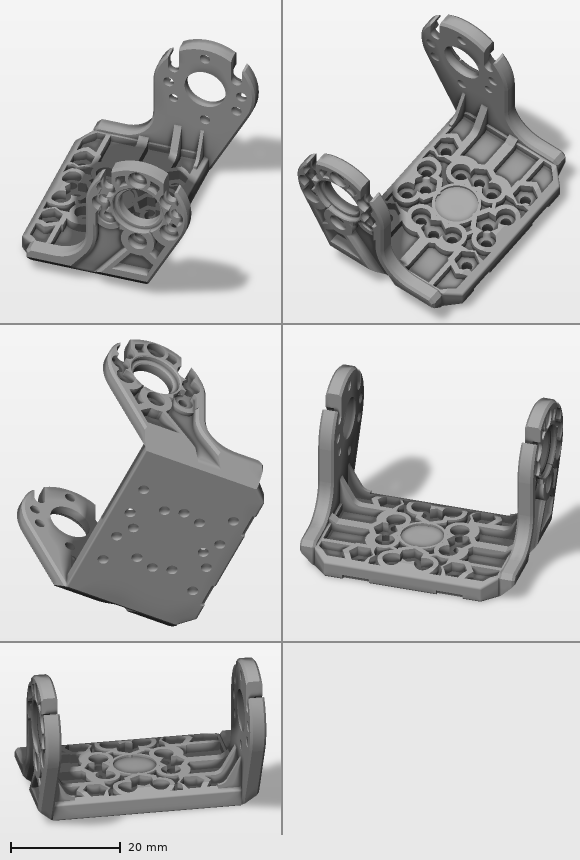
import cadquery as cq
import math


WIDTH = 41.0
ARM_THICK = 3.0
HALF_WIDTH = WIDTH / 2
INNER_Y = HALF_WIDTH - ARM_THICK

HUB_Z = 19.0
HUB_R = 9.5
BOLT_CIRCLE_R = 7.0
HOLE_D = 2.0
SMALL_HOLE_D = 1.75

BASE_LEFT = -24.2
BASE_RIGHT = 0.75
BASE_MID_X = (BASE_LEFT + BASE_RIGHT) / 2
BASE_TOP = 4.15
BASE_CORNER = 2.6
BASE_EDGE_Z = 3.08
BEVEL_RUN = 2.55
EDGE_ROUND = 0.5
RIGHT_ROUND = 0.33
GRID = 3.0

ARM_LEFT = BASE_LEFT + BASE_CORNER
ARM_FOOT_TOP = 5.05
ARM_CORNER = 0.9
ARM_NECK_X = -10.13
NECK_TANGENT_Z = HUB_Z - 0.9
BEND_R = 6.0
ARM_CHAMFER = 0.45
UNDERCUT = ARM_THICK
TIP_HEIGHT = 5.8
SLOT_W = 2.05

BORE_D = 7.87
SEAT_D = 9.68
SEAT_DEPTH = 1.02
SEAT_CHAMFER = 0.2
BORE_CHAMFER = 0.25
RING_R = 5.3

SINK_R = 1.8
ARM_SINK_DEPTH = 1.55
SINK_NECK_W = 1.5
ARM_POCKET_DEPTH = 2.05
CHANNEL_DEPTH = 1.93
CHANNEL_CHAMFER = 0.5
CHANNEL_EXIT_R = 0.95

PLATE_SINK_DEPTH = 2.0
NUT_FLATS = 4.0
PLATE_POCKET_DEPTH = 1.72
PLATE_POCKET_END = 17.0
POCKET_FOOT = 0.33
DISC_R = 3.98
DISC_DEPTH = 0.5
DISC_RIM_R = 4.5

BIG = 3 * WIDTH


def polar(radius, degrees):
    angle = math.radians(degrees)
    return radius * math.cos(angle), radius * math.sin(angle)


def hub_point(radius, degrees):
    x, z = polar(radius, degrees)
    return x, HUB_Z + z


def mirrored_y(shape):
    return shape.union(shape.mirror("XZ"))


def outer_face():
    """Sketch plane on the outer face of the -Y arm; negative extrusions go inwards."""
    return cq.Workplane("XZ", origin=(0, -HALF_WIDTH, 0))


def arm_disc(center, radius, depth):
    return outer_face().center(*center).circle(radius).extrude(-depth)


def arm_blank():
    dist = math.hypot(BASE_RIGHT, HUB_Z)
    lean = math.atan2(BASE_RIGHT, HUB_Z) - math.asin(HUB_R / dist)
    tangent = hub_point(HUB_R, math.degrees(lean))
    tip_angle = 180 - math.degrees(math.asin(TIP_HEIGHT / HUB_R))
    spare = 2 * ARM_CHAMFER
    blank = (
        outer_face()
        .moveTo(ARM_LEFT, -spare)
        .lineTo(ARM_LEFT, ARM_FOOT_TOP - ARM_CORNER)
        .lineTo(ARM_LEFT + ARM_CORNER, ARM_FOOT_TOP)
        .lineTo(ARM_NECK_X - BEND_R, ARM_FOOT_TOP)
        .tangentArcPoint((BEND_R, BEND_R))
        .lineTo(ARM_NECK_X, NECK_TANGENT_Z)
        .tangentArcPoint(hub_point(HUB_R, tip_angle), relative=False)
        .threePointArc(hub_point(HUB_R, 60), tangent)
        .lineTo(BASE_RIGHT - spare * math.tan(-lean), -spare)
        .close()
        .extrude(-ARM_THICK)
        .faces("<Y or >Y")
        .chamfer(ARM_CHAMFER)
    )
    undercut = (
        cq.Workplane("YZ", origin=(-WIDTH, 0, 0))
        .moveTo(-HALF_WIDTH, UNDERCUT)
        .lineTo(-HALF_WIDTH + UNDERCUT, 0)
        .lineTo(-INNER_Y, -UNDERCUT)
        .lineTo(-HALF_WIDTH, -UNDERCUT)
        .close()
        .extrude(BIG)
    )
    return blank.cut(undercut)


def hub_cuts():
    bore = arm_disc((0, HUB_Z), BORE_D / 2, ARM_THICK)
    seat = arm_disc((0, HUB_Z), SEAT_D / 2, SEAT_DEPTH)
    lead_in = (
        outer_face()
        .center(0, HUB_Z)
        .circle(SEAT_D / 2 + SEAT_CHAMFER)
        .extrude(-SEAT_CHAMFER, taper=45)
    )
    bore_lead_in = (
        cq.Workplane("XZ", origin=(0, SEAT_DEPTH - HALF_WIDTH, HUB_Z))
        .circle(BORE_D / 2 + BORE_CHAMFER)
        .extrude(-BORE_CHAMFER, taper=45)
    )
    cuts = bore.union(seat).union(lead_in).union(bore_lead_in)
    for angle in (0, 90, 180, 270, 330):
        cuts = cuts.union(arm_disc(hub_point(BOLT_CIRCLE_R, angle), HOLE_D / 2, ARM_THICK))
    small = hub_point(BOLT_CIRCLE_R, 210)
    return cuts.union(arm_disc(small, SMALL_HOLE_D / 2, ARM_THICK))


def slot_cuts():
    """Two slots open at the top, and the cut that levels the arm tips beside them."""
    cuts = None
    for angle, side in ((30, 1), (150, -1)):
        x, z = hub_point(BOLT_CIRCLE_R, angle)
        slot = arm_disc((x, z), SLOT_W / 2, ARM_THICK)
        slot = slot.union(
            outer_face().center(x, z + HUB_R / 2).rect(SLOT_W, HUB_R).extrude(-ARM_THICK)
        )
        level = (
            outer_face()
            .center(x + side * HUB_R / 2, HUB_Z + TIP_HEIGHT + HUB_R / 2)
            .rect(HUB_R, HUB_R)
            .extrude(-ARM_THICK)
        )
        slot = slot.union(level)
        cuts = slot if cuts is None else cuts.union(slot)
    return cuts


def sink_cuts():
    """Counterbores on the bolt circle; those at each side are joined by short passages."""
    cuts = arm_disc(hub_point(BOLT_CIRCLE_R, 90), SINK_R, ARM_SINK_DEPTH)
    cuts = cuts.union(arm_disc(hub_point(BOLT_CIRCLE_R, 270), SINK_R, ARM_SINK_DEPTH))
    for side_angle in (0, 180):
        for step in (-30, 0, 30):
            place = hub_point(BOLT_CIRCLE_R, side_angle + step)
            cuts = cuts.union(arm_disc(place, SINK_R, ARM_SINK_DEPTH))
        for step in (-15, 15):
            passage = (
                outer_face()
                .center(*hub_point(BOLT_CIRCLE_R, side_angle + step))
                .transformed(rotate=(0, 0, side_angle + step))
                .rect(SINK_NECK_W, SINK_R)
                .extrude(-ARM_SINK_DEPTH)
            )
            cuts = cuts.union(passage)
    return cuts


def crown_pockets():
    """Two curved pockets above the bore, either side of the top hole."""
    inner_r, outer_r, side_x, corner_r = 5.75, 7.9, 4.22, 0.6
    top_wall_r, slot_wall_r = 2.45, 2.75
    band = outer_face().center(0, HUB_Z).circle(outer_r).circle(inner_r).extrude(-ARM_SINK_DEPTH)
    upper = (
        outer_face()
        .center(0, HUB_Z + HUB_R / 2 + inner_r / 2)
        .rect(2 * side_x, HUB_R)
        .extrude(-ARM_SINK_DEPTH)
    )
    pockets = band.intersect(upper)
    pockets = pockets.cut(arm_disc(hub_point(BOLT_CIRCLE_R, 90), top_wall_r, ARM_THICK))
    for angle in (30, 150):
        pockets = pockets.cut(arm_disc(hub_point(BOLT_CIRCLE_R, angle), slot_wall_r, ARM_THICK))
    return pockets.edges("|Y").edges("<X or >X").fillet(corner_r)


LOW_BOSS_R = 3.2
LOW_HOLE = hub_point(BOLT_CIRCLE_R, 270)


def web_pockets():
    """Pockets of the lower web, with a rib between them parallel to their cut corners."""
    lower = [(-4.95, 4.4), (1.72, 4.4), (3.08, 7.18), (0.95, 8.9), (-1.35, 8.9)]
    upper = [(3.55, 8.65), (5.45, 12.3), (4.35, 14.05), (2.25, 14.75), (1.25, 12.3), (1.25, 10.6)]
    pockets = outer_face().polyline(lower).close().extrude(-ARM_POCKET_DEPTH)
    pockets = pockets.union(outer_face().polyline(upper).close().extrude(-ARM_POCKET_DEPTH))
    pockets = pockets.cut(arm_disc(LOW_HOLE, LOW_BOSS_R, ARM_THICK))
    right_wall_r = 3.4
    return pockets.cut(arm_disc(hub_point(BOLT_CIRCLE_R, 330), right_wall_r, ARM_THICK))


def channel_cuts():
    """Slanted channel running from the small hole down through the undercut."""
    left_x, right_x, top_z = -8.08, -3.45, 16.4
    small_hole = hub_point(BOLT_CIRCLE_R, 210)
    boss_r, boss_recess, recess_corner_r = 2.95, 1.1, 1.0
    bend_x, bend_z = ARM_NECK_X - BEND_R, ARM_FOOT_TOP + BEND_R
    wall_r = left_x - bend_x
    slope = 51.4
    bend_end_angle = 90 - slope
    end_x, end_z = polar(wall_r, -bend_end_angle)
    mid_x, mid_z = polar(wall_r, -bend_end_angle / 2)
    end = (bend_x + end_x, bend_z + end_z)
    wall_top = (-1.3, 11.0)
    shoulder_z = 13.85
    below = -1.25

    def down_slope(point):
        return point[0] - (point[1] - below) / math.tan(math.radians(slope)), below

    def outline():
        return (
            outer_face()
            .moveTo(left_x, top_z)
            .lineTo(left_x, bend_z)
            .threePointArc((bend_x + mid_x, bend_z + mid_z), end)
            .lineTo(*down_slope(end))
            .lineTo(*down_slope(wall_top))
            .lineTo(*wall_top)
            .lineTo(wall_top[0], top_z)
            .close()
        )

    channel = outline().extrude(-CHANNEL_DEPTH)
    bevel = outline().offset2D(CHANNEL_CHAMFER).extrude(-CHANNEL_CHAMFER, taper=45)
    boss = arm_disc(small_hole, boss_r, ARM_THICK)
    low_boss = arm_disc(LOW_HOLE, LOW_BOSS_R, ARM_THICK)
    ring = arm_disc((0, HUB_Z), RING_R, ARM_THICK)
    recess_box = (
        outer_face()
        .moveTo(left_x, small_hole[1] - boss_r)
        .lineTo(right_x, small_hole[1] - boss_r)
        .lineTo(right_x, small_hole[1] + SINK_R)
        .lineTo(left_x, small_hole[1] + SINK_R)
        .close()
        .extrude(-boss_recess)
        .edges("|Y and <X and >Z")
        .fillet(recess_corner_r)
    )
    shoulder = (
        outer_face()
        .moveTo(right_x, shoulder_z)
        .lineTo(0, shoulder_z)
        .lineTo(0, HUB_Z)
        .lineTo(right_x, HUB_Z)
        .close()
        .extrude(-ARM_THICK)
    )
    recess = boss.intersect(recess_box)
    cuts = channel.union(bevel).cut(boss).union(recess)
    return cuts.cut(low_boss).cut(shoulder).cut(ring)


def make_arm():
    arm = arm_blank()
    for cuts in (hub_cuts(), slot_cuts(), sink_cuts(), crown_pockets(), web_pockets(), channel_cuts()):
        arm = arm.cut(cuts)
    channel_exit = (-11.05, CHANNEL_DEPTH - HALF_WIDTH, UNDERCUT - CHANNEL_DEPTH)
    return arm.edges(cq.NearestToPointSelector(channel_exit)).fillet(CHANNEL_EXIT_R)


def plate_box(x_min, x_max, y_min, y_max, depth):
    """Cutter of the given depth below the plate top."""
    return (
        cq.Workplane("XY")
        .box(x_max - x_min, y_max - y_min, depth, centered=False)
        .translate((x_min, y_min, BASE_TOP - depth))
    )


def plate_disc(place, radius, depth):
    x, y = place
    return (
        cq.Workplane("XY", origin=(BASE_MID_X + x, y, BASE_TOP)).circle(radius).extrude(-depth)
    )


def plate_hex(place, flats, corner_angle, depth):
    x, y = place
    return (
        cq.Workplane("XY", origin=(BASE_MID_X + x, y, BASE_TOP))
        .transformed(rotate=(0, 0, corner_angle))
        .polygon(6, flats / math.cos(math.pi / 6))
        .extrude(-depth)
    )


SIGNS = [(1, 1), (1, -1), (-1, 1), (-1, -1)]
SIDE_BORES = [(sx * 3 * GRID, sy * GRID) for sx, sy in SIGNS]
RING_BORES = [polar(BOLT_CIRCLE_R, a) for a in (60, 120, 240, 300)]
CORNER_NUTS = [(sx * 3 * GRID, sy * 3 * GRID) for sx, sy in SIGNS]
X_NUTS = [(BOLT_CIRCLE_R, 0), (-BOLT_CIRCLE_R, 0)]
Y_NUTS = [(0, BOLT_CIRCLE_R), (0, -BOLT_CIRCLE_R)]


def plate_blank():
    plate = (
        cq.Workplane("XY")
        .moveTo(BASE_RIGHT, -INNER_Y)
        .lineTo(BASE_RIGHT, INNER_Y)
        .lineTo(ARM_LEFT, INNER_Y)
        .lineTo(BASE_LEFT, INNER_Y - BASE_CORNER)
        .lineTo(BASE_LEFT, BASE_CORNER - INNER_Y)
        .lineTo(ARM_LEFT, -INNER_Y)
        .close()
        .extrude(BASE_TOP)
    )
    profile = (
        cq.Workplane("XZ", origin=(0, HALF_WIDTH, 0))
        .moveTo(BASE_LEFT, 0)
        .lineTo(BASE_RIGHT, 0)
        .lineTo(BASE_RIGHT, BASE_EDGE_Z)
        .lineTo(BASE_RIGHT - BEVEL_RUN, BASE_TOP)
        .lineTo(BASE_LEFT + BEVEL_RUN, BASE_TOP)
        .lineTo(BASE_LEFT, BASE_EDGE_Z)
        .close()
        .extrude(WIDTH)
    )
    plate = plate.edges("|Z and <X").fillet(EDGE_ROUND).intersect(profile)
    for end, radius in (("<X", EDGE_ROUND), (">X", RIGHT_ROUND)):
        for level in ("<Z", ">Z"):
            plate = plate.faces(end).edges(level).fillet(radius)
    return plate


def gussets():
    """Ribs rising against the inside of the arms."""
    small_reach, small_rise = 1.4, 1.0
    big_reach, big_rise = 3.0, 5.25
    foot_len, foot_r = 1.25, 1.9
    shapes = None
    ribs = (
        (-12.7, -10.8, small_reach, small_rise, False),
        (-5.9, -4.45, big_reach, big_rise, True),
        (-0.8, -0.15, big_reach, big_rise, True),
    )
    for x_min, x_max, reach, rise, rounded in ribs:
        toe_y = INNER_Y - reach
        rib = (
            cq.Workplane("YZ", origin=(x_min, 0, 0))
            .moveTo(INNER_Y, BASE_TOP - PLATE_POCKET_DEPTH)
            .lineTo(INNER_Y, BASE_TOP + rise)
            .lineTo(toe_y, BASE_TOP)
            .lineTo(toe_y - foot_len, BASE_TOP)
            .lineTo(toe_y - foot_len, BASE_TOP - PLATE_POCKET_DEPTH)
            .close()
            .extrude(x_max - x_min)
        )
        if rounded:
            toe = ((x_min + x_max) / 2, toe_y, BASE_TOP)
            rib = rib.edges(cq.NearestToPointSelector(toe)).fillet(foot_r)
        shapes = rib if shapes is None else shapes.union(rib)
    return mirrored_y(shapes)


def end_pockets():
    """Four pockets at each end of the plate, bounded by ribs and by the hole bosses."""
    nut_wall, ring_wall_r, inner_y = 6.05, 3.6, 6.15
    pockets = None
    for x_min, x_max in ((-22.67, -18.9), (-18.0, -12.7), (-10.8, -5.9), (-4.45, -0.8)):
        box = plate_box(x_min, x_max, inner_y, PLATE_POCKET_END, PLATE_POCKET_DEPTH)
        box = box.faces(">Y").edges("<Z").chamfer(POCKET_FOOT)
        pockets = box if pockets is None else pockets.union(box)
    corner = (
        cq.Workplane("XY")
        .polyline([(-22.67, 14.9), (-22.67, INNER_Y), (-20.62, INNER_Y), (-20.62, 17.0)])
        .close()
        .extrude(BASE_TOP)
    )
    pockets = pockets.cut(corner)
    for place in RING_BORES[:2]:
        pockets = pockets.cut(plate_disc(place, ring_wall_r, BASE_TOP))
    for place in CORNER_NUTS + Y_NUTS:
        pockets = pockets.cut(plate_hex(place, nut_wall, 30, BASE_TOP))
    for side in (-1, 1):
        x = BASE_MID_X + side * 3 * GRID
        below_nut = plate_box(x - NUT_FLATS / 2, x + NUT_FLATS / 2, 0, 3 * GRID, BASE_TOP)
        pockets = pockets.cut(below_nut)
    return mirrored_y(pockets)


def middle_pockets():
    """Recess left between the walls around the middle group of holes."""
    half_x, half_y = 11.2, 6.9
    wall_r, corner_flats, nut_flats = 2.7, 4.75, 5.9
    pocket = plate_box(
        BASE_MID_X - half_x, BASE_MID_X + half_x, -half_y, half_y, PLATE_POCKET_DEPTH
    )
    walls = plate_disc((0, 0), DISC_RIM_R, BASE_TOP)
    for place in SIDE_BORES + RING_BORES:
        walls = walls.union(plate_disc(place, wall_r, BASE_TOP))
    for place in CORNER_NUTS:
        walls = walls.union(plate_hex(place, corner_flats, 30, BASE_TOP))
    for place in X_NUTS:
        walls = walls.union(plate_hex(place, nut_flats, 0, BASE_TOP))
    for place in Y_NUTS:
        walls = walls.union(plate_hex(place, nut_flats, 30, BASE_TOP))
    for side in (-1, 1):
        x = BASE_MID_X + side * (half_x - GRID / 2)
        walls = walls.union(plate_box(x - GRID / 2, x + GRID / 2, -GRID, GRID, BASE_TOP))
    rib_w, rib_len, rib_turn = 0.65, 2.45, 62
    rib_x, rib_y = -5.65, 3.85
    rib = (
        cq.Workplane("XY")
        .box(rib_len, rib_w, BASE_TOP)
        .rotate((0, 0, 0), (0, 0, 1), rib_turn)
        .translate((BASE_MID_X + rib_x, rib_y, BASE_TOP / 2))
    )
    return pocket.cut(walls.union(mirrored_y(rib)))


def plate_holes():
    """Through holes with round or hexagonal sinks, and the shallow central disc."""
    disc_nut_wall = 5.75
    cuts = plate_disc((0, 0), DISC_R, DISC_DEPTH)
    for place in X_NUTS:
        cuts = cuts.cut(plate_hex(place, disc_nut_wall, 0, DISC_DEPTH))
    for place in SIDE_BORES + RING_BORES:
        cuts = cuts.union(plate_disc(place, SINK_R, PLATE_SINK_DEPTH))
    for place in X_NUTS:
        cuts = cuts.union(plate_hex(place, NUT_FLATS, 0, PLATE_SINK_DEPTH))
    for place in CORNER_NUTS + Y_NUTS:
        cuts = cuts.union(plate_hex(place, NUT_FLATS, 30, PLATE_SINK_DEPTH))
    for place in SIDE_BORES + RING_BORES + CORNER_NUTS + X_NUTS + Y_NUTS:
        cuts = cuts.union(plate_disc(place, HOLE_D / 2, BASE_TOP))
    return cuts


def edge_notches():
    """Two notches in the lower left edge of the plate."""
    near_y, far_y, height, depth = 6.4, 11.5, 1.02, 0.8
    notch = cq.Workplane("XY").box(depth, far_y - near_y, height, centered=False)
    return mirrored_y(notch.translate((BASE_LEFT, near_y, 0)))


plate = plate_blank()
for plate_cuts in (end_pockets(), middle_pockets(), plate_holes(), edge_notches()):
    plate = plate.cut(plate_cuts)

result = plate.union(mirrored_y(make_arm())).union(gussets())